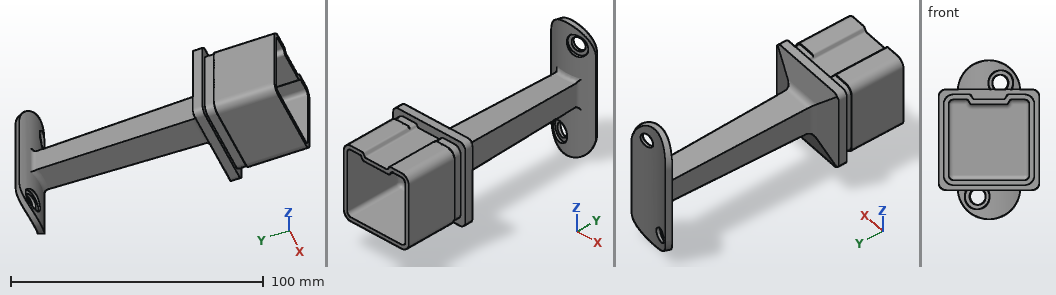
import cadquery as cq
import math

length = 114.1

plug_width = 36.0
plug_corner = 4.0
pocket_width = 32.0
channel_width = 12.3
channel_slope = 60.0
channel_fillet = 1.0

plug_length = 26.0
neck_relief = 0.5

flange_width = 40.0
flange_corner = 3.0
flange_start = 30.0
flange_thickness = 4.1
pyramid_slope = 14.5
pyramid_fillet = 3.3

stem_base_width = 13.7
stem_tip_width = 11.2
stem_plate_fillet = 1.8

plate_width = 24.9
plate_height = 63.0
plate_thickness = 2.7
plate_radius = 23.4
hole_angle = 12.0
hole_z = 22.5
hole_diameter = 6.5
counterbore_diameter = 10.0
counterbore_depth = 1.4

pick_margin = 0.1

wall = (plug_width - pocket_width) / 2
channel_depth = wall
pocket_depth = flange_start
pocket_fillet = wall
flange_end = flange_start + flange_thickness
plate_inner_radius = plate_radius - plate_thickness
tip_angle = math.asin(plate_width / 2 / plate_radius)
plate_axis_y = length + plate_inner_radius * math.cos(tip_angle)
plate_front_y = plate_axis_y - plate_radius


def section(y):
    """Sketch plane facing +Y at the given place, with local x along -X and local y along Z."""
    return cq.Workplane(cq.Plane(origin=(0, y, 0), xDir=(-1, 0, 0), normal=(0, 1, 0)))


def square_bar(width, corner, start, end):
    """Square bar along Y with its four long edges rounded."""
    return section(start).rect(width, width).extrude(end - start).edges("|Y").fillet(corner)


def bar_with_channel(inset, floor_z, floor_width, start, end):
    """Rounded square bar, inset from the plug outline, with a sloped channel in its top face."""
    half = plug_width / 2 - inset
    bar = square_bar(2 * half, plug_corner - inset, start, end)
    floor_half = floor_width / 2
    top_half = floor_half + (half - floor_z) / math.tan(math.radians(channel_slope))
    channel = (
        section(start)
        .polyline([(-top_half, half), (-floor_half, floor_z), (floor_half, floor_z), (top_half, half)])
        .close()
        .extrude(end - start)
    )
    bar = bar.cut(channel)
    reach = top_half + channel_fillet / 2
    rims = cq.selectors.BoxSelector((-reach, start, floor_z - wall / 2), (reach, end, half + wall / 2))
    return bar.edges("|Y").edges(rims).fillet(channel_fillet)


def make_plug():
    """Solid plug with its neck, and the pocket that hollows it from the open end."""
    floor_z = plug_width / 2 - channel_depth
    slope = math.radians(channel_slope)
    inner_width = channel_width + 2 * wall * math.tan(slope / 2)
    plug = bar_with_channel(0, floor_z, channel_width, 0, plug_length)
    neck = bar_with_channel(neck_relief, floor_z, channel_width, plug_length, flange_start)
    pocket = bar_with_channel(wall, floor_z - wall, inner_width, 0, pocket_depth)
    pocket = pocket.faces(">Y").edges().fillet(pocket_fillet)
    return plug.union(neck), pocket


def make_stem():
    """Flange, pyramid and tapered stem, the stem ending inside the wall plate."""
    flange = square_bar(flange_width, flange_corner, flange_start, flange_end)
    pyramid_rise = (flange_width - stem_base_width) / 2 * math.tan(math.radians(pyramid_slope))
    pyramid = (
        section(flange_end)
        .rect(flange_width, flange_width)
        .extrude(pyramid_rise, taper=90 - pyramid_slope)
        .intersect(square_bar(flange_width, flange_corner, flange_end, length))
    )
    stem_start = flange_end + pyramid_rise
    stem_length = plate_front_y + plate_thickness / 2 - stem_start
    stem_taper = math.degrees(math.atan((stem_base_width - stem_tip_width) / 2 / stem_length))
    stem = section(stem_start).rect(stem_base_width, stem_base_width).extrude(stem_length, taper=stem_taper)
    body = flange.union(pyramid).union(stem)
    reach = stem_base_width / 2 + pick_margin
    root = cq.selectors.BoxSelector(
        (-reach, stem_start - pick_margin, -reach), (reach, stem_start + pick_margin, reach)
    )
    return body.edges(root).fillet(pyramid_fillet)


def make_plate():
    """Slot-shaped piece of a cylinder wall whose rim stands square to the curved face."""
    cylinder = (
        cq.Workplane("XY", origin=(0, plate_axis_y, -plate_height))
        .circle(plate_radius)
        .extrude(2 * plate_height)
    )
    outline = (
        section(plate_front_y - plate_thickness)
        .slot2D(plate_height, plate_width, 90)
        .extrude(plate_radius)
    )
    convex_face = cylinder.intersect(outline).faces("<Y").val()
    return cq.Workplane(convex_face.thicken(-plate_thickness))


def join_plate(stem, plate):
    """Fuse the stem to the plate and round the seam on the convex face."""
    body = stem.union(plate)
    reach = stem_tip_width / 2 + plate_thickness / 2
    seam = cq.selectors.BoxSelector(
        (-reach, plate_front_y - pick_margin, -reach), (reach, plate_front_y + plate_thickness / 2, reach)
    )
    return body.edges(seam).fillet(stem_plate_fillet)


def make_screw_hole(angle, z):
    """Counterbored hole that points at the plate's axis."""
    lean = math.radians(angle)
    inward = cq.Vector(-math.sin(lean), math.cos(lean), 0)
    surface = cq.Vector(0, plate_axis_y, z) - inward * plate_radius
    start = surface - inward * plate_thickness
    hole = cq.Solid.makeCylinder(hole_diameter / 2, 3 * plate_thickness, start, inward)
    counterbore_length = plate_thickness + counterbore_depth
    counterbore = cq.Solid.makeCylinder(counterbore_diameter / 2, counterbore_length, start, inward)
    return hole.fuse(counterbore)


plug, pocket = make_plug()
bracket = join_plate(make_stem(), make_plate())
for side in (-1, 1):
    bracket = bracket.cut(cq.Workplane(make_screw_hole(side * hole_angle, side * hole_z)))
result = bracket.union(plug).cut(pocket)